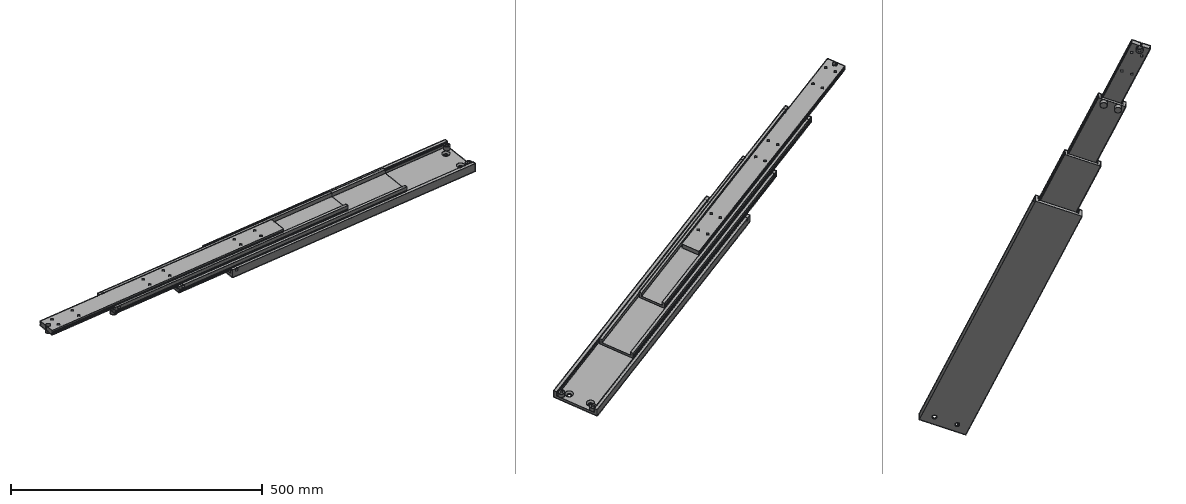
import cadquery as cq

TOTAL_LENGTH = 1023.0

OUTER_WIDTH = 100.0
OUTER_LENGTH = 599.0
OUTER_HEIGHT = 19.0
OUTER_WALL = 7.0
OUTER_FLOOR = 7.0

CHANNEL_HEIGHT = 15.0
CHANNEL_FLOOR = 6.0
CHANNEL_WALL = 6.0
GROOVE_DEPTH = 1.0
GROOVE_BOTTOM = 3.0
GROOVE_TOP = 6.0
SECOND_WIDTH = 78.0
STAGE_RISE = 9.0
SECOND_BOTTOM = 10.0
SECOND_FRONT = 300.0
SECOND_LENGTH = 563.0
THIRD_WIDTH = 59.0
THIRD_BOTTOM = SECOND_BOTTOM + STAGE_RISE
THIRD_FRONT = 148.0
THIRD_LENGTH = 575.0

INNER_WIDTH = 40.0
INNER_LENGTH = 572.0
INNER_RISE = 2.6
INNER_HEIGHT = 11.0
INNER_BOTTOM = THIRD_BOTTOM + CHANNEL_HEIGHT + INNER_RISE - INNER_HEIGHT

MOUNT_HOLE_X = 25.0
MOUNT_HOLE_INSET = 17.0
MOUNT_HOLE_DIAMETER = 9.0
COUNTERSINK_DIAMETER = 16.0
COUNTERSINK_ANGLE = 90

STOP_DIAMETER = 13.0
STOP_BORE_DIAMETER = 6.0
STOP_HEIGHT = 9.0

WALL_HOLE_DIAMETER = 6.0
WALL_HOLE_INSET = 10.0
WALL_HOLE_DROP = 4.0

BAR_HOLE_DIAMETER = 5.0
BAR_HOLE_SPACING = 21.0
BAR_HOLE_FIRST_Y = 23.0
BAR_HOLE_ROW_PITCH = 50.0
BAR_HOLE_GROUP_PITCH = 225.0
BAR_HOLE_GROUPS = 3
BAR_HOLE_ROWS = 2

THIRD_PEG_X = 15.0
THIRD_PEG_RADIUS = 7.0
INNER_PEG_RADIUS = 7.0
INNER_PEG_DROP = 6.0
INNER_PEG_BORE_RADIUS = 3.0
TIP_HOLE_RADIUS = 5.0
TIP_HOLE_Y = 5.0


def extruded_profile(points, bottom, front, length):
    """Extrude an XZ outline, drawn from Z = 0, along +Y from the front end."""
    profile = cq.Workplane("XZ", origin=(0, front, bottom)).polyline(points).close()
    return profile.extrude(-length)


def mirrored_outline(right_half):
    """Complete a right-half outline, listed from its bottom corner, with its mirror image."""
    return right_half + [(-x, z) for x, z in reversed(right_half)]


def grooved_side(width, height):
    """Right side of a rail with a square running groove, listed bottom to top."""
    edge = width / 2
    return [
        (edge, 0),
        (edge, GROOVE_BOTTOM),
        (edge - GROOVE_DEPTH, GROOVE_BOTTOM),
        (edge - GROOVE_DEPTH, GROOVE_TOP),
        (edge, GROOVE_TOP),
        (edge, height),
    ]


def cut_wall_hole(channel, width, front, top):
    """Drill one round hole through both walls."""
    hole = (
        cq.Workplane("YZ", origin=(-width / 2, front + WALL_HOLE_INSET, top - WALL_HOLE_DROP))
        .circle(WALL_HOLE_DIAMETER / 2)
        .extrude(width)
    )
    return channel.cut(hole)


def make_outer_channel():
    """Channel whose inner grooves face those of the second channel."""
    front = TOTAL_LENGTH - OUTER_LENGTH
    outside = OUTER_WIDTH / 2
    inside = outside - OUTER_WALL
    points = mirrored_outline([
        (outside, 0),
        (outside, OUTER_HEIGHT),
        (inside, OUTER_HEIGHT),
        (inside, SECOND_BOTTOM + GROOVE_TOP),
        (inside + GROOVE_DEPTH, SECOND_BOTTOM + GROOVE_TOP),
        (inside + GROOVE_DEPTH, SECOND_BOTTOM + GROOVE_BOTTOM),
        (inside, SECOND_BOTTOM + GROOVE_BOTTOM),
        (inside, OUTER_FLOOR),
    ])
    channel = extruded_profile(points, 0, front, OUTER_LENGTH)
    channel = cut_wall_hole(channel, OUTER_WIDTH, front, OUTER_HEIGHT)

    stop_x = inside - STOP_DIAMETER / 2
    stop_y = TOTAL_LENGTH - STOP_DIAMETER / 2
    stops = (
        cq.Workplane("XY", origin=(0, 0, OUTER_FLOOR))
        .pushPoints([(-stop_x, stop_y), (stop_x, stop_y)])
        .circle(STOP_DIAMETER / 2)
        .circle(STOP_BORE_DIAMETER / 2)
        .extrude(STOP_HEIGHT)
    )
    channel = channel.union(stops)

    hole_y = TOTAL_LENGTH - MOUNT_HOLE_INSET
    return (
        channel.copyWorkplane(cq.Workplane("XY", origin=(0, 0, OUTER_FLOOR)))
        .pushPoints([(-MOUNT_HOLE_X, hole_y), (MOUNT_HOLE_X, hole_y)])
        .cskHole(MOUNT_HOLE_DIAMETER, COUNTERSINK_DIAMETER, COUNTERSINK_ANGLE)
    )


def make_channel(width, bottom, front, length):
    inside = width / 2 - CHANNEL_WALL
    points = mirrored_outline(
        grooved_side(width, CHANNEL_HEIGHT) + [(inside, CHANNEL_HEIGHT), (inside, CHANNEL_FLOOR)]
    )
    channel = extruded_profile(points, bottom, front, length)
    return cut_wall_hole(channel, width, front, bottom + CHANNEL_HEIGHT)


def make_third_channel():
    channel = make_channel(THIRD_WIDTH, THIRD_BOTTOM, THIRD_FRONT, THIRD_LENGTH)
    peg_y = THIRD_FRONT + THIRD_PEG_RADIUS
    pegs = (
        cq.Workplane("XY", origin=(0, 0, SECOND_BOTTOM))
        .pushPoints([(-THIRD_PEG_X, peg_y), (THIRD_PEG_X, peg_y)])
        .circle(THIRD_PEG_RADIUS)
        .extrude(THIRD_BOTTOM - SECOND_BOTTOM)
    )
    return channel.union(pegs)


def make_inner_bar():
    points = mirrored_outline(grooved_side(INNER_WIDTH, INNER_HEIGHT))
    bar = extruded_profile(points, INNER_BOTTOM, 0, INNER_LENGTH)

    peg_bottom = INNER_BOTTOM - INNER_PEG_DROP
    peg = (
        cq.Workplane("XY", origin=(0, INNER_PEG_RADIUS, peg_bottom))
        .circle(INNER_PEG_RADIUS)
        .circle(INNER_PEG_BORE_RADIUS)
        .extrude(INNER_PEG_DROP)
    )
    tip_hole = (
        cq.Workplane("XY", origin=(0, TIP_HOLE_Y, INNER_BOTTOM))
        .circle(TIP_HOLE_RADIUS)
        .extrude(INNER_HEIGHT)
    )
    hole_centers = [
        (side * BAR_HOLE_SPACING / 2, BAR_HOLE_FIRST_Y + group * BAR_HOLE_GROUP_PITCH + row * BAR_HOLE_ROW_PITCH)
        for group in range(BAR_HOLE_GROUPS)
        for row in range(BAR_HOLE_ROWS)
        for side in (-1, 1)
    ]
    bar_holes = (
        cq.Workplane("XY", origin=(0, 0, INNER_BOTTOM))
        .pushPoints(hole_centers)
        .circle(BAR_HOLE_DIAMETER / 2)
        .extrude(INNER_HEIGHT)
    )
    return bar.union(peg).cut(tip_hole).cut(bar_holes)


outer_channel = make_outer_channel()
second_channel = make_channel(SECOND_WIDTH, SECOND_BOTTOM, SECOND_FRONT, SECOND_LENGTH)
third_channel = make_third_channel()
inner_bar = make_inner_bar()

result = cq.Compound.makeCompound(
    [outer_channel.val(), second_channel.val(), third_channel.val(), inner_bar.val()]
)